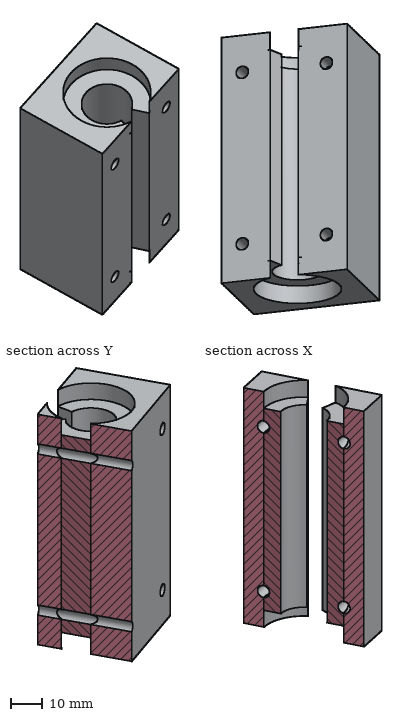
import cadquery as cq
import math

height = 83.0
width = 42.3

axis_x = 19.0
bushing_radius = 14.0
bushing_bore_radius = 8.1
end_recess = 5.9
opening_half_angle = math.radians(20)

depth = axis_x + bushing_radius * math.cos(opening_half_angle)

hole_diameter = 4.1
hole_spacing_y = 28.4
hole_spacing_z = 57.9


def upright_cylinder(radius, bottom_z, length):
    """Cylinder on the bushing axis."""
    return cq.Workplane("XY", origin=(axis_x, 0, bottom_z)).circle(radius).extrude(length)


def mounting_holes():
    """Four cylinders through the whole depth of the housing."""
    return (
        cq.Workplane("YZ", origin=(0, 0, height / 2))
        .rect(hole_spacing_y, hole_spacing_z, forConstruction=True)
        .vertices()
        .circle(hole_diameter / 2)
        .extrude(depth)
    )


def opening_wedge():
    """Wedge with its tip on the bushing axis, wider than the bushing wall it cuts."""
    reach = 2 * bushing_radius
    half_width = reach * math.tan(opening_half_angle)
    return (
        cq.Workplane("XY", origin=(axis_x, 0, 0))
        .polyline([(0, 0), (reach, -half_width), (reach, half_width)])
        .close()
        .extrude(height)
    )


def make_housing():
    """Block with a through seat that breaks out of its front face."""
    block = cq.Workplane("XY").box(depth, width, height, centered=(False, True, False))
    seat = upright_cylinder(bushing_radius, 0, height)
    return block.cut(seat).cut(mounting_holes())


def make_bushing():
    """C-shaped sleeve, set back equally from both ends of the housing."""
    length = height - 2 * end_recess
    sleeve = upright_cylinder(bushing_radius, end_recess, length)
    bore = upright_cylinder(bushing_bore_radius, end_recess, length)
    return sleeve.cut(bore).cut(opening_wedge()).cut(mounting_holes())


housing = make_housing()
bushing = make_bushing()

result = cq.Compound.makeCompound([*housing.solids().vals(), *bushing.solids().vals()])